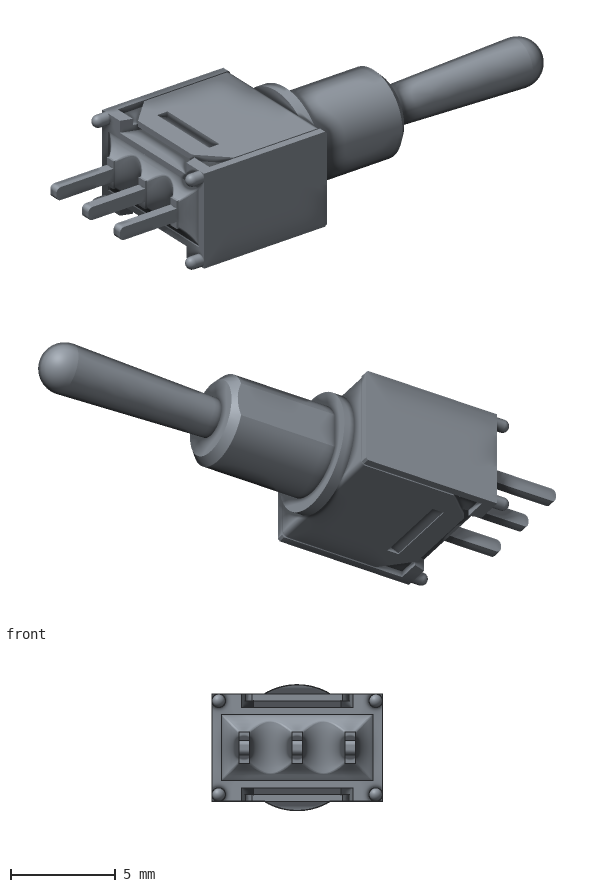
import cadquery as cq
import math


housing_width = 8.13
housing_height = 5.12
housing_length = 7.3
housing_edge_chamfer = 0.1

strap_width = 7.15
strap_thickness = 0.32
strap_length = 6.6
strap_corner = 1.43
strap_bend_radius = 0.3
strap_side_gap = 0.08
strap_end_gap = 0.08
flange_diameter = 6.0
flange_thickness = 0.57
bushing_radius = 2.32
bushing_length = 5.63
bushing_flat = 2.13
bushing_chamfer = 0.4

window_width = 4.15
window_start = 4.9
window_end = 5.52
tooth_height = 0.27

slot_depth = 0.65
slot_mouth_width = 5.33

lever_length = 9.4
lever_tip_radius = 1.27
lever_root_radius = 1.0

foot_radius = 0.32
foot_straight = 0.48

terminal_pitch = 2.53
terminal_width = 0.5
terminal_height = 0.7
terminal_length = 4.05
terminal_tip_fillet = 0.25
collar_height = 1.5
collar_length = 0.67
mound_width = 7.22
mound_height = 3.15
mound_recess = 0.08
mound_peak = 0.57
mound_valley = 0.08
mound_sag = 0.08
mound_edge_fillet = 0.1

face_y = -housing_length
strap_floor = housing_height / 2 - strap_thickness
bushing_end = flange_thickness + bushing_length


def centred_box(width, length, height, y_front):
    """Box centred on the Y axis that runs from y_front toward +Y."""
    return cq.Workplane("XY").box(width, length, height).translate((0, y_front + length / 2, 0))


def mirrored_in_z(body):
    """The body together with its mirror image below the XY plane."""
    return body.union(body.mirror("XY"))


def chord_arc_point(start, end, sag):
    """Midpoint of an arc from left to right that sags toward +Y, into the mound."""
    run = end[0] - start[0]
    rise = end[1] - start[1]
    chord = math.hypot(run, rise)
    return (
        (start[0] + end[0]) / 2 - sag * rise / chord,
        (start[1] + end[1]) / 2 + sag * run / chord,
    )



def strap():
    """U-shaped strap: a rear plate and two legs with cut corners and a window."""
    body = centred_box(strap_width, strap_length, housing_height, -strap_length)
    body = body.edges("<Y and |Z").chamfer(strap_corner)
    body = body.edges(">Y and |X").fillet(strap_bend_radius)
    inner_length = strap_length - strap_thickness
    inside = centred_box(strap_width, inner_length, 2 * strap_floor, -strap_length)
    window = centred_box(window_width, window_end - window_start, housing_height, -window_end)
    return body.cut(inside).cut(window)


def bushing():
    """Mounting flange and chamfered bushing with one flat on the -X side."""
    flange = cq.Workplane("XZ").circle(flange_diameter / 2).extrude(-flange_thickness)
    barrel = cq.Workplane("XZ").workplane(offset=-flange_thickness)
    barrel = barrel.circle(bushing_radius).extrude(-bushing_length)
    barrel = barrel.faces(">Y").chamfer(bushing_chamfer)
    keep = centred_box(2 * bushing_radius, bushing_length, 2 * bushing_radius, flange_thickness)
    barrel = barrel.intersect(keep.translate((bushing_radius - bushing_flat, 0, 0)))
    return flange.union(barrel)


def make_frame():
    return strap().union(bushing())



def strap_recess():
    """Space for the rear plate and both legs of the strap."""
    width = strap_width + 2 * strap_side_gap
    length = strap_length + strap_end_gap
    whole = centred_box(width, length, housing_height, -length)
    core_length = length - strap_thickness
    core = centred_box(width, core_length, 2 * strap_floor, -length)
    return whole.cut(core)


def snap_tooth():
    """Ramp that rises toward the terminals and fills the window up to its -Y edge."""
    ramp = [
        (-window_start, strap_floor),
        (-window_end, strap_floor),
        (-window_end, strap_floor + tooth_height),
    ]
    return cq.Workplane("YZ").polyline(ramp).close().extrude(window_width / 2, both=True)


def release_slot():
    """Slot that narrows from the terminal face to the tooth and runs under the strap."""
    outline = [
        (-slot_mouth_width / 2, face_y),
        (slot_mouth_width / 2, face_y),
        (window_width / 2, -window_end),
        (-window_width / 2, -window_end),
    ]
    floor = housing_height / 2 - slot_depth
    return cq.Workplane("XY").workplane(offset=floor).polyline(outline).close().extrude(slot_depth)


def standoff_foot():
    """Round foot with a domed end, on the Y axis."""
    shoulder_y = face_y - foot_straight
    return (
        cq.Workplane("XY")
        .moveTo(0, face_y)
        .lineTo(foot_radius, face_y)
        .lineTo(foot_radius, shoulder_y)
        .radiusArc((0, shoulder_y - foot_radius), foot_radius)
        .close()
        .revolve(360, (0, 0, 0), (0, 1, 0))
    )


def mound_lengthwise():
    """Mound outline across the row of terminals, with a valley between each two."""
    edge_y = face_y + mound_recess
    peak_y = face_y - mound_peak
    valley_y = face_y - mound_valley
    half_terminal = terminal_width / 2
    start = (-mound_width / 2, edge_y)
    first_peak = (-terminal_pitch - half_terminal, peak_y)
    last_peak = (terminal_pitch + half_terminal, peak_y)
    end = (mound_width / 2, edge_y)
    outline = cq.Workplane("XY").moveTo(*start)
    outline = outline.threePointArc(chord_arc_point(start, first_peak, mound_sag), first_peak)
    for left in (-terminal_pitch, 0):
        right = left + terminal_pitch
        outline = outline.lineTo(left + half_terminal, peak_y)
        outline = outline.threePointArc(
            ((left + right) / 2, valley_y), (right - half_terminal, peak_y)
        )
    outline = outline.lineTo(*last_peak)
    outline = outline.threePointArc(chord_arc_point(last_peak, end, mound_sag), end)
    return outline.close().extrude(mound_height / 2, both=True)


def mound_crosswise():
    """Mound outline seen along the row of terminals."""
    edge_y = face_y + mound_recess
    peak_y = face_y - mound_peak
    start = (-mound_height / 2, edge_y)
    first_peak = (-collar_height / 2, peak_y)
    last_peak = (collar_height / 2, peak_y)
    end = (mound_height / 2, edge_y)
    plane = cq.Plane(origin=(0, 0, 0), xDir=(0, 0, 1), normal=(-1, 0, 0))
    outline = cq.Workplane(plane).moveTo(*start)
    outline = outline.threePointArc(chord_arc_point(start, first_peak, mound_sag), first_peak)
    outline = outline.lineTo(*last_peak)
    outline = outline.threePointArc(chord_arc_point(last_peak, end, mound_sag), end)
    return outline.close().extrude(mound_width / 2, both=True)


def sealing_mound():
    """Mound with its hips and the rims of its valleys rounded, up to the flat tops."""
    mound = mound_lengthwise().intersect(mound_crosswise())
    flat_edges = mound.faces("|Y").edges().vals()
    sloping_edges = [edge for edge in mound.edges().vals() if edge not in flat_edges]
    return mound.newObject(sloping_edges).fillet(mound_edge_fillet)


def terminal():
    """Terminal blade with a rounded tip and a taller collar at its root."""
    tip_y = face_y - terminal_length
    blade = centred_box(terminal_width, terminal_length, terminal_height, tip_y)
    blade = blade.edges("<Y and |X").fillet(terminal_tip_fillet)
    collar_total = collar_length + mound_recess
    collar = centred_box(terminal_width, collar_total, collar_height, face_y - collar_length)
    return blade.union(collar)


def make_housing():
    body = centred_box(housing_width, housing_length, housing_height, face_y)
    body = body.edges(">Y and |X").chamfer(housing_edge_chamfer)
    body = body.cut(strap_recess())
    body = body.cut(mirrored_in_z(release_slot()))
    body = body.union(mirrored_in_z(snap_tooth()))
    body = body.cut(centred_box(mound_width, mound_recess, mound_height, face_y))
    body = body.union(sealing_mound())
    for index in (-1, 0, 1):
        body = body.union(terminal().translate((index * terminal_pitch, 0, 0)))
    foot_x = housing_width / 2 - foot_radius
    foot_z = housing_height / 2 - foot_radius
    for x in (-foot_x, foot_x):
        for z in (-foot_z, foot_z):
            body = body.union(standoff_foot().translate((x, 0, z)))
    return body



def make_lever():
    """Tapered lever with a domed tip, standing on the end of the bushing."""
    tip_y = bushing_end + lever_length
    dome_y = tip_y - lever_tip_radius
    return (
        cq.Workplane("XY")
        .moveTo(0, bushing_end)
        .lineTo(lever_root_radius, bushing_end)
        .lineTo(lever_tip_radius, dome_y)
        .radiusArc((0, tip_y), -lever_tip_radius)
        .close()
        .revolve(360, (0, 0, 0), (0, 1, 0))
    )


housing = make_housing()
frame = make_frame()
lever = make_lever()

result = cq.Compound.makeCompound([housing.solids().val(), frame.solids().val(), lever.val()])